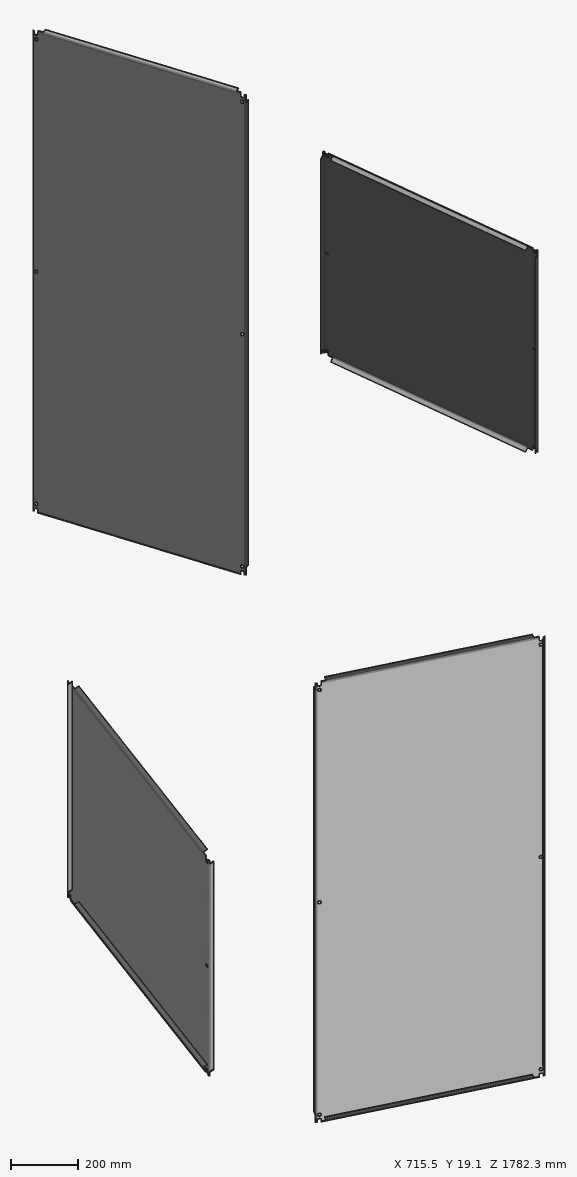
import cadquery as cq

WIDTH = 715.52
DEPTH = 19.05
HEIGHT = 1782.32

THICKNESS = 2.66
INNER_RADIUS = 1.34
OUTER_RADIUS = INNER_RADIUS + THICKNESS

SIDE_FLANGE_INSET = 32.0
END_FLANGE_INSET = 34.0
BEND_STUB_DEPTH = 4.4

SLOT_OUTER = 6.0
SLOT_INNER = 18.0
SLOT_LENGTH = 16.5
SLOT_CORNER_RADIUS = 5.0
SIDE_STRIP_INSET = 4.5

HOLE_DIAMETER = 11.0
HOLE_SIDE_INSET = 12.7
HOLE_END_INSET = 32.5


def rounded_block(width, height, radius):
    """Block with its front face at Y = 0 and the front edges rounded."""
    block = cq.Workplane("XY").box(width, DEPTH, height, centered=(True, False, True))
    return block.faces("<Y").edges().fillet(radius)


def make_tray():
    """Front sheet with a flange folded back along all four edges."""
    cavity = rounded_block(WIDTH - 2 * THICKNESS, HEIGHT - 2 * THICKNESS, INNER_RADIUS)
    return rounded_block(WIDTH, HEIGHT, OUTER_RADIUS).cut(cavity.translate((0, THICKNESS, 0)))


def corner_box(x_start, x_end, z_start, z_end, y_start):
    """Box placed from the (-X, -Z) corner of the panel, running to the back."""
    box = cq.Workplane("XY").box(x_end - x_start, DEPTH, z_end - z_start, centered=False)
    return box.translate((x_start - WIDTH / 2, y_start, z_start - HEIGHT / 2))


def make_corner_cutter():
    """Material removed at the (-X, -Z) corner."""
    flange_gap = corner_box(0, END_FLANGE_INSET, 0, SIDE_FLANGE_INSET, BEND_STUB_DEPTH)
    slot = corner_box(SLOT_OUTER, SLOT_INNER, -SLOT_LENGTH, SLOT_LENGTH, 0)
    slot = slot.edges("|Y").fillet(SLOT_CORNER_RADIUS)
    slot_middle = (SLOT_OUTER + SLOT_INNER) / 2
    strip_end = corner_box(0, slot_middle, 0, SIDE_STRIP_INSET, 0)
    return flange_gap.union(slot).union(strip_end)


def cut_corners(body):
    """Remove the same corner shape at all four corners."""
    lower_left = make_corner_cutter()
    lower_right = lower_left.mirror("YZ")
    for cutter in (lower_left, lower_right):
        body = body.cut(cutter).cut(cutter.mirror("XY"))
    return body


def drill_holes(body):
    """Through holes at the top, middle and bottom of both sides."""
    hole_x = WIDTH / 2 - HOLE_SIDE_INSET
    hole_z = HEIGHT / 2 - HOLE_END_INSET
    centers = [(x, z) for x in (-hole_x, hole_x) for z in (-hole_z, 0, hole_z)]
    drills = cq.Workplane("XZ").pushPoints(centers).circle(HOLE_DIAMETER / 2).extrude(-DEPTH)
    return body.cut(drills)


result = drill_holes(cut_corners(make_tray()))